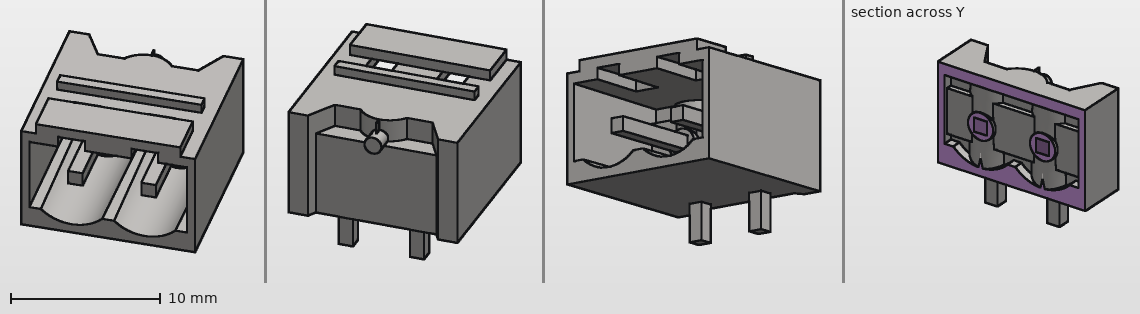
import cadquery as cq

WIDTH = 12.06
DEPTH = 12.0
HEIGHT = 7.63
FRONT = -DEPTH / 2
BACK = DEPTH / 2

PITCH = 5.08
PIN_XS = (-PITCH / 2, PITCH / 2)
PIN_AXIS_Z = 3.77

PIN_SIZE = 1.01
PIN_TIP_SETBACK = 0.96
PIN_TAIL_LENGTH = 2.64
TAIL_Y = BACK - 2.09

CAVITY_WIDTH = 10.93
CAVITY_TOP = 6.85
CAVITY_BOTTOM = 1.52
CAVITY_DEPTH = 8.88
CAVITY_ROOF_DROP = 0.11
CAVITY_FLOOR_RISE = 0.1
CAVITY_END = FRONT + CAVITY_DEPTH
SCOOP_RADIUS = 3.1

COLUMN_TOP_RADIUS = 1.69
COLUMN_BOTTOM_RADIUS = 1.76
BLOCK_TOP = 5.68
BLOCK_BOTTOM = 2.23
BLOCK_PROJECTION = 0.45
COLLAR_RADIUS = 1.05
COLLAR_PROJECTION = 0.96

RIDGE_WIDTH = 10.01
RIDGE_DEPTH = 3.11
RIDGE_HEIGHT = 0.76
RIB_THICKNESS = 0.77
RIB_HEIGHT = 0.65
RIB_FRONT = FRONT + 5.27
KEY_SLOT_WIDTH = 1.86
KEY_SLOT_DEPTH = 4.18

RECESS_DEPTH = 2.05
RECESS_OUTER_HALF = 4.65
RECESS_INNER_HALF = 3.49
BULGE_HALF_WIDTH = 1.65
BULGE_HEIGHT = 0.85
LEDGE_SETBACK = 0.62
LEDGE_TOP = 6.03
FIN_THICKNESS = 0.05
KNOB_RADIUS = 0.6
KNOB_AXIS_Z = 6.25


def box(x_range, y_range, z_range):
    """Box between two coordinates along each axis."""
    size = [high - low for low, high in (x_range, y_range, z_range)]
    corner = (x_range[0], y_range[0], z_range[0])
    return cq.Workplane("XY").box(*size, centered=False).translate(corner)


def centred(width, middle=0.0):
    """Range of the given width about a middle value."""
    return (middle - width / 2, middle + width / 2)


def rod_along_y(radius, x, z, y_range):
    """Round rod lying along Y."""
    length = y_range[1] - y_range[0]
    rod = cq.Solid.makeCylinder(radius, length, cq.Vector(x, y_range[0], z), cq.Vector(0, 1, 0))
    return cq.Workplane(obj=rod)


def make_pin(x):
    """Square contact: a straight blade with a tail bent straight down."""
    tail_back = TAIL_Y + PIN_SIZE / 2
    blade_z = centred(PIN_SIZE, PIN_AXIS_Z)
    blade = box(centred(PIN_SIZE, x), (FRONT + PIN_TIP_SETBACK, tail_back), blade_z)
    tail = box(centred(PIN_SIZE, x), centred(PIN_SIZE, TAIL_Y), (-PIN_TAIL_LENGTH, blade_z[1]))
    return blade.union(tail)


def back_recess():
    """Trapezoidal recess through the full height, with the bulge left standing in it."""
    floor = BACK - RECESS_DEPTH
    return (
        cq.Workplane("XY")
        .moveTo(-RECESS_OUTER_HALF, BACK)
        .lineTo(-RECESS_INNER_HALF, floor)
        .lineTo(-BULGE_HALF_WIDTH, floor)
        .threePointArc((0, floor + BULGE_HEIGHT), (BULGE_HALF_WIDTH, floor))
        .lineTo(RECESS_INNER_HALF, floor)
        .lineTo(RECESS_OUTER_HALF, BACK)
        .close()
        .extrude(HEIGHT)
    )


def back_ledge():
    """Low ledge filling the recess, set back from the back face."""
    slope = (RECESS_OUTER_HALF - RECESS_INNER_HALF) / RECESS_DEPTH
    back_half = RECESS_OUTER_HALF - slope * LEDGE_SETBACK
    floor = BACK - RECESS_DEPTH
    back = BACK - LEDGE_SETBACK
    outline = [
        (-RECESS_INNER_HALF, floor),
        (RECESS_INNER_HALF, floor),
        (back_half, back),
        (-back_half, back),
    ]
    return cq.Workplane("XY").polyline(outline).close().extrude(LEDGE_TOP)


def back_knob():
    """Round knob pointing backwards, joined to the top face by a thin fin."""
    floor = BACK - RECESS_DEPTH
    knob = rod_along_y(KNOB_RADIUS, 0, KNOB_AXIS_Z, (floor, BACK))
    fin = box(centred(FIN_THICKNESS), (floor, BACK - LEDGE_SETBACK), (LEDGE_TOP, HEIGHT))
    return knob.union(fin)


def cavity():
    """Mating cavity: drafted roof and floor, plus a round scoop below each pin."""
    opening = (
        cq.Workplane("YZ", origin=(-CAVITY_WIDTH / 2, 0, 0))
        .moveTo(FRONT, CAVITY_BOTTOM)
        .lineTo(CAVITY_END, CAVITY_BOTTOM + CAVITY_FLOOR_RISE)
        .lineTo(CAVITY_END, CAVITY_TOP - CAVITY_ROOF_DROP)
        .lineTo(FRONT, CAVITY_TOP)
        .close()
        .extrude(CAVITY_WIDTH)
    )
    lower_half = box(centred(CAVITY_WIDTH), (FRONT, CAVITY_END), (0, PIN_AXIS_Z))
    for x in PIN_XS:
        scoop = rod_along_y(SCOOP_RADIUS, x, PIN_AXIS_Z, (FRONT, CAVITY_END))
        opening = opening.union(scoop.intersect(lower_half))
    return opening


def contact_supports():
    """Crossbar, tapered upright columns and round collars around the pins."""
    supports = box(
        centred(CAVITY_WIDTH),
        (CAVITY_END - BLOCK_PROJECTION, CAVITY_END),
        (BLOCK_BOTTOM, BLOCK_TOP),
    )
    for x in PIN_XS:
        column = cq.Solid.makeCone(
            COLUMN_BOTTOM_RADIUS, COLUMN_TOP_RADIUS, CAVITY_TOP, cq.Vector(x, TAIL_Y, 0)
        )
        collar = rod_along_y(COLLAR_RADIUS, x, PIN_AXIS_Z, (CAVITY_END - COLLAR_PROJECTION, CAVITY_END))
        supports = supports.union(cq.Workplane(obj=column)).union(collar)
    return supports


def make_housing(pins):
    body = box(centred(WIDTH), (FRONT, BACK), (0, HEIGHT))
    body = body.cut(back_recess()).union(back_ledge()).union(back_knob())

    body = body.cut(cavity().cut(contact_supports()))

    for x in PIN_XS:
        slot = box(centred(KEY_SLOT_WIDTH, x), (FRONT, FRONT + KEY_SLOT_DEPTH), (PIN_AXIS_Z, HEIGHT))
        body = body.cut(slot)

    ridge = box(centred(RIDGE_WIDTH), (FRONT, FRONT + RIDGE_DEPTH), (HEIGHT, HEIGHT + RIDGE_HEIGHT))
    rib = box(centred(RIDGE_WIDTH), (RIB_FRONT, RIB_FRONT + RIB_THICKNESS), (HEIGHT, HEIGHT + RIB_HEIGHT))
    body = body.union(ridge).union(rib)

    for pin in pins:
        body = body.cut(pin)
    return body


pins = [make_pin(x) for x in PIN_XS]
housing = make_housing(pins)

result = cq.Compound.makeCompound([housing.val(), *[pin.val() for pin in pins]])